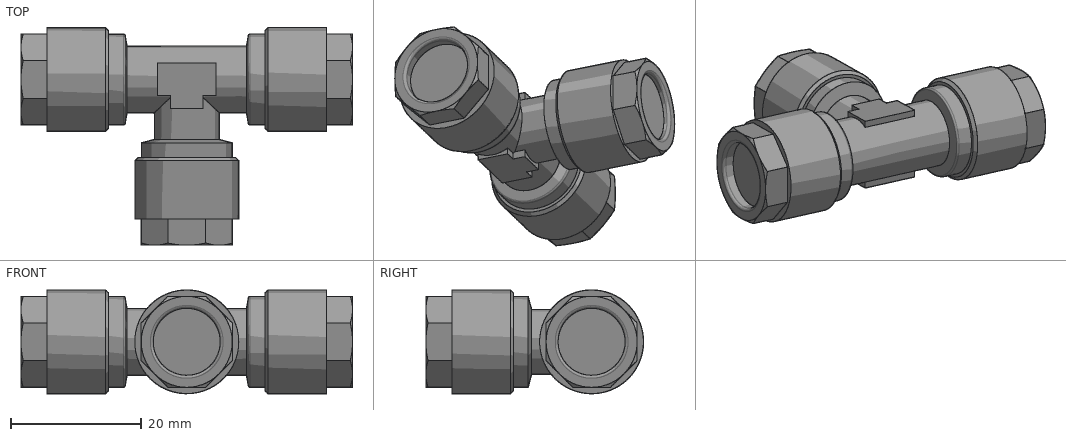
import cadquery as cq
import math

arm_reach = 25.5

octagon_flats = 14.0
octagon_length = 4.0
octagon_sides = 8
corner_bevel_angle = 30.0
collar_radius = 8.0
collar_inner_end = 12.0
collar_chamfer = 0.5

shoulder_radius = 7.0
shoulder_start = 9.75

mouth_radius = 5.15
mouth_rim_fillet = 0.45

run_tube_radius = 5.15
run_slope_angle = 10.0
run_shoulder_fillet = 0.3
run_mouth_depth = 1.8

branch_tube_radius = 5.0
branch_slope_angle = 15.0
branch_shoulder_fillet = 0.0
branch_mouth_depth = 1.0

pad_length = 9.0
pad_width = 5.0
pad_half_height = 5.5

octagon_start = arm_reach - octagon_length


def revolve_about_x(outline):
    """Close an outline drawn in the XY plane and turn it about the X axis."""
    return outline.close().revolve(360, (0, 0, 0), (1, 0, 0))


def octagon_head():
    """Octagonal head along +X with its outer corners bevelled by a cone."""
    face_radius = octagon_flats / 2
    corner_radius = face_radius / math.cos(math.pi / octagon_sides)
    head = (
        cq.Workplane("YZ", origin=(octagon_start, 0, 0))
        .polygon(octagon_sides, 2 * corner_radius)
        .extrude(octagon_length)
        .rotate((0, 0, 0), (1, 0, 0), 180 / octagon_sides)
    )
    cone_base_radius = face_radius + octagon_length / math.tan(math.radians(corner_bevel_angle))
    bevel_cone = revolve_about_x(
        cq.Workplane("XY")
        .moveTo(octagon_start, 0)
        .lineTo(octagon_start, cone_base_radius)
        .lineTo(arm_reach, face_radius)
        .lineTo(arm_reach, 0)
    )
    return head.intersect(bevel_cone)


def turned_body(tube_radius, slope_angle, shoulder_fillet):
    """Round tube, sloped shoulder and collar along +X, as one revolved outline."""

    def fillet_point(angle):
        """Point on the shoulder fillet circle, angle in degrees from +X."""
        turn = math.radians(angle)
        along = shoulder_start + shoulder_fillet * math.cos(turn)
        radius = shoulder_radius - shoulder_fillet + shoulder_fillet * math.sin(turn)
        return along, radius

    slope_top = fillet_point(180 - slope_angle)
    slope_rise = slope_top[1] - tube_radius
    slope_foot = slope_top[0] - slope_rise * math.tan(math.radians(slope_angle))

    outline = cq.Workplane("XY").lineTo(0, tube_radius).lineTo(slope_foot, tube_radius).lineTo(*slope_top)
    if shoulder_fillet > 0:
        outline = outline.threePointArc(fillet_point(135 - slope_angle / 2), fillet_point(90))
    return revolve_about_x(
        outline.lineTo(collar_inner_end, shoulder_radius)
        .lineTo(collar_inner_end, collar_radius - collar_chamfer)
        .lineTo(collar_inner_end + collar_chamfer, collar_radius)
        .lineTo(octagon_start, collar_radius)
        .lineTo(octagon_start, 0)
    )


def mouth(depth):
    """Blind round recess with a rounded rim, cut into the open end."""
    floor = arm_reach - depth
    rim_radius = mouth_radius + mouth_rim_fillet
    rim_inset = mouth_rim_fillet * (1 - math.sqrt(0.5))
    return revolve_about_x(
        cq.Workplane("XY")
        .moveTo(arm_reach, 0)
        .lineTo(arm_reach, rim_radius)
        .threePointArc(
            (arm_reach - rim_inset, mouth_radius + rim_inset),
            (arm_reach - mouth_rim_fillet, mouth_radius),
        )
        .lineTo(floor, mouth_radius)
        .lineTo(floor, 0)
    )


def arm(body, mouth_depth, direction):
    """Complete arm, turned about Z by the direction angle in degrees."""
    straight_arm = body.union(octagon_head()).cut(mouth(mouth_depth))
    return straight_arm.rotate((0, 0, 0), (0, 0, 1), direction)


def junction_pads():
    """T-shaped block whose top and bottom faces stand proud of the tubes."""
    pad_height = 2 * pad_half_height
    neck_reach = pad_length / 2
    run_pad = cq.Workplane("XY").box(pad_length, pad_width, pad_height)
    branch_pad = cq.Workplane("XY").box(pad_width, neck_reach, pad_height).translate((0, -neck_reach / 2, 0))
    return run_pad.union(branch_pad)


run_body = turned_body(run_tube_radius, run_slope_angle, run_shoulder_fillet)
branch_body = turned_body(branch_tube_radius, branch_slope_angle, branch_shoulder_fillet)

result = (
    arm(run_body, run_mouth_depth, 0)
    .union(arm(run_body, run_mouth_depth, 180))
    .union(arm(branch_body, branch_mouth_depth, -90))
    .union(junction_pads())
)